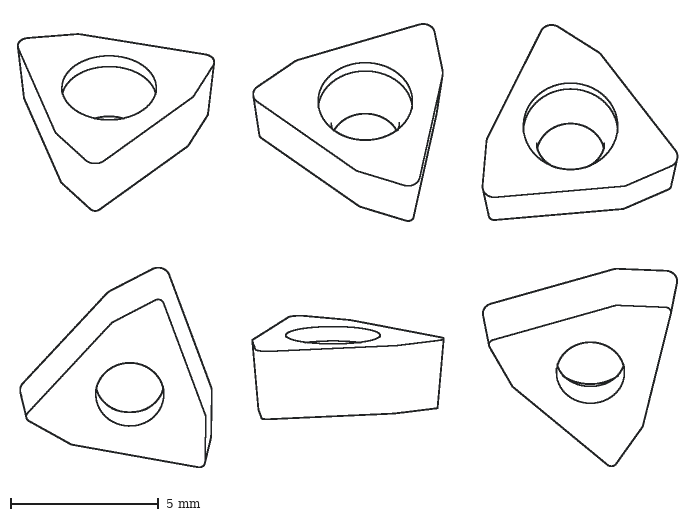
import cadquery as cq
import math

thickness = 2.38
inscribed_radius = 2.38
short_edge_distance = 2.795
short_edge_turn = 20
corner_radius = 0.4
clearance_angle = 5

bore_radius = 1.15
counterbore_radius = 1.6
counterbore_depth = 0.495
seat_arc_radius = 1.005


def edge_crossing(angle_a, distance_a, angle_b, distance_b):
    """Point where two edges meet, each given by its normal angle and distance from the centre."""
    a = math.radians(angle_a)
    b = math.radians(angle_b)
    span = math.sin(b - a)
    x = (distance_a * math.sin(b) - distance_b * math.sin(a)) / span
    y = (distance_b * math.cos(a) - distance_a * math.cos(b)) / span
    return x, y


outline = []
for long_normal in (-90, 30, 150):
    short_normal = long_normal + short_edge_turn
    next_long_normal = long_normal + 120
    outline.append(edge_crossing(long_normal, inscribed_radius, short_normal, short_edge_distance))
    outline.append(edge_crossing(short_normal, short_edge_distance, next_long_normal, inscribed_radius))

rounded_outline = cq.Sketch().polygon(outline + outline[:1]).vertices().fillet(corner_radius)

body = (
    cq.Workplane("XY")
    .workplane(offset=thickness)
    .placeSketch(rounded_outline)
    .extrude(-thickness, taper=clearance_angle)
)

seat_top = thickness - counterbore_depth
seat_arc_center_r = bore_radius + seat_arc_radius
seat_height = math.sqrt(seat_arc_radius**2 - (seat_arc_center_r - counterbore_radius) ** 2)
seat_bottom = seat_top - seat_height
mid_angle = math.asin(seat_height / seat_arc_radius) / 2
seat_middle = (
    seat_arc_center_r - seat_arc_radius * math.cos(mid_angle),
    seat_bottom + seat_arc_radius * math.sin(mid_angle),
)

hole = (
    cq.Workplane("XZ")
    .lineTo(bore_radius, 0)
    .lineTo(bore_radius, seat_bottom)
    .threePointArc(seat_middle, (counterbore_radius, seat_top))
    .lineTo(counterbore_radius, thickness)
    .lineTo(0, thickness)
    .close()
    .revolve(360, (0, 0, 0), (0, 1, 0))
)

result = body.cut(hole)